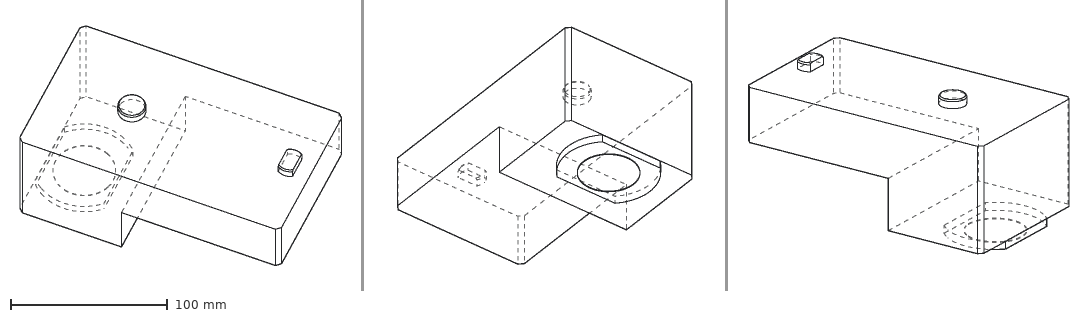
import cadquery as cq
import math

BODY_LENGTH = 182.0
BODY_WIDTH = 102.0
PLATE_HEIGHT = 38.0
BLOCK_LENGTH = 72.0
BLOCK_HEIGHT = 74.0
CORNER_CHAMFER = 3.0

PIN_DIAMETER = 18.0
PIN_HEIGHT = 6.0
PIN_LEAD_IN_HEIGHT = 1.2
PIN_LEAD_IN_ANGLE = 30.0
PIN_LEAD_IN_DEPTH = PIN_LEAD_IN_HEIGHT * math.tan(math.radians(PIN_LEAD_IN_ANGLE))
ROUND_PIN_X = 57.0
PIN_SPACING = 110.0
FLAT_PIN_THICKNESS = 10.0

FLANGE_X = 24.0
FLANGE_DIAMETER = 66.5
FLANGE_HEIGHT = 5.5
FLAT_TO_FLAT = 47.5

BOSS_DIAMETER = 40.03
BOSS_HEIGHT = 0.5


def make_body():
    profile = [
        (0, 0),
        (BODY_LENGTH, 0),
        (BODY_LENGTH, -PLATE_HEIGHT),
        (BLOCK_LENGTH, -PLATE_HEIGHT),
        (BLOCK_LENGTH, -BLOCK_HEIGHT),
        (0, -BLOCK_HEIGHT),
    ]
    body = cq.Workplane("XZ").polyline(profile).close().extrude(BODY_WIDTH / 2, both=True)
    outer_corners = body.faces("<X or >X").edges("|Z")
    return outer_corners.chamfer(CORNER_CHAMFER)


def make_round_pin(x):
    """Turned pin with a steep conical lead-in around its top."""
    radius = PIN_DIAMETER / 2
    half_section = [
        (0, 0),
        (radius, 0),
        (radius, PIN_HEIGHT - PIN_LEAD_IN_HEIGHT),
        (radius - PIN_LEAD_IN_DEPTH, PIN_HEIGHT),
        (0, PIN_HEIGHT),
    ]
    pin = cq.Workplane("XZ").polyline(half_section).close().revolve(360, (0, 0), (0, 1))
    return pin.translate((x, 0, 0))


def make_flat_pin(x):
    """Chamfered round pin trimmed to a slab whose flats face -X and +X."""
    slab = cq.Workplane("XY").center(x, 0).rect(FLAT_PIN_THICKNESS, PIN_DIAMETER).extrude(PIN_HEIGHT)
    return make_round_pin(x).intersect(slab)


def make_flange():
    base = cq.Workplane("XY", origin=(FLANGE_X, 0, -BLOCK_HEIGHT))
    disc = base.circle(FLANGE_DIAMETER / 2).extrude(-FLANGE_HEIGHT)
    trim = base.rect(FLAT_TO_FLAT, FLANGE_DIAMETER).extrude(-FLANGE_HEIGHT)
    return disc.intersect(trim)


def make_boss():
    flange_bottom = cq.Workplane("XY", origin=(FLANGE_X, 0, -BLOCK_HEIGHT - FLANGE_HEIGHT))
    return flange_bottom.circle(BOSS_DIAMETER / 2).extrude(-BOSS_HEIGHT)


result = (
    make_body()
    .union(make_round_pin(ROUND_PIN_X))
    .union(make_flat_pin(ROUND_PIN_X + PIN_SPACING))
    .union(make_flange())
    .union(make_boss())
)